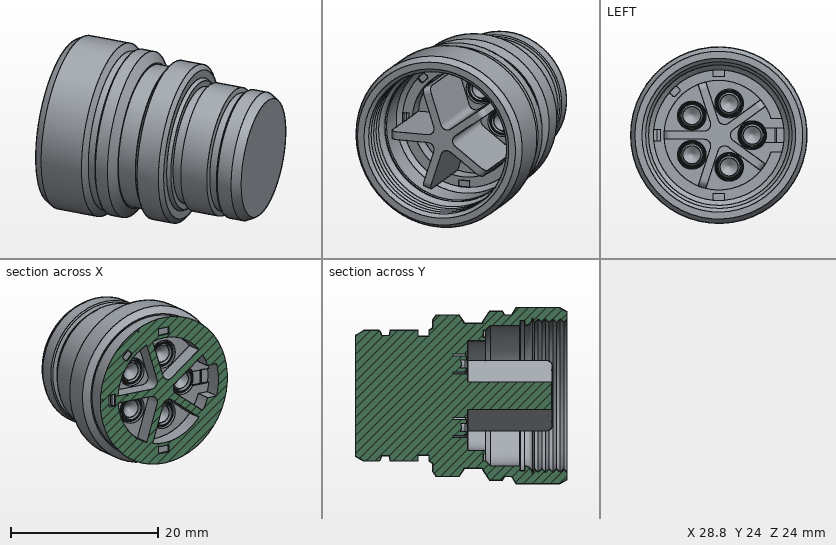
import cadquery as cq
import math

total_length = 28.8

nut_radius = 12.0
nut_nose_radius = 11.4
nut_nose_length = 1.05
nut_end = 6.95
collar_radius = 11.0
nut_cone_end = 7.55
ring_start = 8.5
ring_radius = 11.5
ring_flat_start = 8.8
ring_flat_end = 10.55
waist_start = 11.5
waist_end = 14.05
waist_radius = 9.87
waist_cone_radius = 10.05
collar_flat_start = 14.7
collar_flat_end = 17.8
collar_end = 18.3
collar_end_radius = 10.3

sleeve_radius = 8.9
lip_radius = 9.2
lip_end = 18.8
neck_radius = 8.1
sleeve_start = 20.25
groove_radius = 8.2
groove_start = 24.05
groove_floor_start = 24.2
groove_floor_end = 25.2
groove_step_x = 25.38
groove_step_radius = 8.73
groove_end = 25.6
dome_start = 27.6
dome_end_radius = 8.2
dome_bulge = 0.06

mouth_radius = 10.45
thread_crest_radius = 9.95
thread_root_radius = 10.4
thread_pitch = 1.0
thread_first_crest = 0.45
thread_count = 4
throat_radius = 9.54
throat_rounding = 1.05
seal_groove_start = 5.8
seal_groove_end = 6.35
seal_groove_radius = 10.2
seal_groove_chamfer = 0.15

bore_radius = 8.87
rim_depth = 11.1
cup_radius = 7.45
floor_depth = 13.5

arm_count = 5
star_front = 2.1
arm_width = 1.1
arm_root_radius = 0.91
arm_tip_radius = 0.95

contact_circle_radius = 4.53
contact_well_radius = 1.95
contact_well_depth = 2.0
tube_radius = 1.8
tube_tip_radius = 1.65
tube_setback = 0.15
contact_radius = 1.5
contact_tip_radius = 1.22
contact_tip_length = 0.6
contact_setback = 0.4
contact_cone_depth = 0.8

key_width = 4.54
key_channel_width = 2.0
key_channel_depth = 0.3
key_groove_inner = 7.6
key_groove_outer = 7.85
key_groove_depth = 0.6
mark_inner_radius = 7.95
mark_depth = 0.3
mark_width = 1.6
small_mark_width = 1.3
small_mark_fillet = 0.2
small_mark_angle = 45
side_mark_step_radius = 8.4
side_mark_step_depth = 0.6

arm_pitch = 360 / arm_count
half_pitch = math.radians(arm_pitch / 2)


def revolved(profile):
    """Revolve a closed XY profile about the X axis."""
    return profile.close().revolve(360, (0, 0, 0), (1, 0, 0))


def cross_section(x):
    """Sketch plane across the axis at depth x: local x is +Y, local y is +Z, normal is +X."""
    return cq.Workplane("YZ", origin=(x, 0, 0))


def outer_body():
    dome_middle = (
        (dome_start + total_length) / 2,
        (sleeve_radius + dome_end_radius) / 2 + dome_bulge,
    )
    profile = (
        cq.Workplane("XY")
        .moveTo(0, 0)
        .lineTo(0, nut_nose_radius)
        .lineTo(nut_nose_length, nut_radius)
        .lineTo(nut_end, nut_radius)
        .lineTo(nut_cone_end, collar_radius)
        .lineTo(ring_start, collar_radius)
        .lineTo(ring_flat_start, ring_radius)
        .lineTo(ring_flat_end, ring_radius)
        .lineTo(waist_start, waist_cone_radius)
        .lineTo(waist_start, waist_radius)
        .lineTo(waist_end, waist_radius)
        .lineTo(waist_end, waist_cone_radius)
        .lineTo(collar_flat_start, collar_radius)
        .lineTo(collar_flat_end, collar_radius)
        .lineTo(collar_end, collar_end_radius)
        .lineTo(collar_end, lip_radius)
        .lineTo(lip_end, sleeve_radius)
        .lineTo(lip_end, neck_radius)
        .lineTo(sleeve_start, neck_radius)
        .lineTo(sleeve_start, sleeve_radius)
        .lineTo(groove_start, sleeve_radius)
        .lineTo(groove_floor_start, groove_radius)
        .lineTo(groove_floor_end, groove_radius)
        .lineTo(groove_step_x, groove_step_radius)
        .lineTo(groove_end, sleeve_radius)
        .lineTo(dome_start, sleeve_radius)
        .threePointArc(dome_middle, (total_length, dome_end_radius))
        .lineTo(total_length, 0)
    )
    return revolved(profile)


def mouth_cavity():
    """Threaded mouth, rounded throat, seal groove and bore with a 45 degree cone to the insulator rim."""
    profile = (
        cq.Workplane("XY")
        .moveTo(0, 0)
        .lineTo(0, mouth_radius)
        .lineTo(thread_first_crest, thread_crest_radius)
    )
    for turn in range(thread_count):
        crest = thread_first_crest + turn * thread_pitch
        profile = profile.lineTo(crest + thread_pitch / 2, thread_root_radius)
        profile = profile.lineTo(crest + thread_pitch, thread_crest_radius)
    arc_offset = throat_rounding * (1 - math.sqrt(0.5))
    rounding_start = seal_groove_start - throat_rounding
    rounding_middle = (rounding_start + arc_offset, throat_radius + arc_offset)
    cone_length = throat_radius - bore_radius
    profile = (
        profile.lineTo(rounding_start, throat_radius + throat_rounding)
        .threePointArc(rounding_middle, (seal_groove_start, throat_radius))
        .lineTo(seal_groove_start, seal_groove_radius)
        .lineTo(seal_groove_end, seal_groove_radius)
        .lineTo(seal_groove_end, throat_radius + seal_groove_chamfer)
        .lineTo(seal_groove_end + seal_groove_chamfer, throat_radius)
        .lineTo(rim_depth - cone_length, throat_radius)
        .lineTo(rim_depth, bore_radius)
        .lineTo(rim_depth, 0)
    )
    return revolved(profile)


def cup_cavity():
    """Round cup inside the insulator rim, opened to the bore by the key notch on -Y."""
    depth = floor_depth - rim_depth
    cup = cross_section(rim_depth).circle(cup_radius).extrude(depth)
    notch = (
        cross_section(rim_depth)
        .center(-bore_radius / 2, 0)
        .rect(bore_radius, key_width)
        .extrude(depth)
    )
    bore = cross_section(rim_depth).circle(bore_radius).extrude(depth)
    return cup.union(notch.intersect(bore))


def star_gap():
    """Round-cornered wedge of space between two arms, centred on -Y."""
    apex = arm_width / 2 / math.sin(half_pitch)
    reach = 2 * cup_radius
    half_span = (reach - apex) * math.tan(half_pitch)
    wedge = (
        cross_section(star_front)
        .moveTo(-apex, 0)
        .lineTo(-reach, half_span)
        .lineTo(-reach, -half_span)
        .close()
        .extrude(floor_depth - star_front)
    )
    return wedge.edges("|X").edges(">Y").fillet(arm_root_radius)


def star():
    body = cross_section(star_front).circle(cup_radius).extrude(floor_depth - star_front)
    body = body.faces("<X").edges().fillet(arm_tip_radius)
    for index in range(arm_count):
        gap = star_gap().rotate((0, 0, 0), (1, 0, 0), index * arm_pitch)
        body = body.cut(gap)
    return body


def contact_cavity():
    """Space around one sleeved contact and the conical dimple in its tip, centred on the axis."""
    well_bottom = floor_depth + contact_well_depth
    tube_front = floor_depth + tube_setback
    tube_chamfer = tube_radius - tube_tip_radius
    tip = floor_depth + contact_setback
    profile = (
        cq.Workplane("XY")
        .moveTo(floor_depth, 0)
        .lineTo(floor_depth, contact_well_radius)
        .lineTo(well_bottom, contact_well_radius)
        .lineTo(well_bottom, tube_radius)
        .lineTo(tube_front + tube_chamfer, tube_radius)
        .lineTo(tube_front, tube_tip_radius)
        .lineTo(tube_front, contact_radius)
        .lineTo(tip + contact_tip_length, contact_radius)
        .lineTo(tip, contact_tip_radius)
        .lineTo(tip + contact_cone_depth, 0)
    )
    return revolved(profile)


def key_channel():
    """Shallow channel in the cup floor from the -Y contact to the bore, crossed by a deeper groove."""
    channel_length = bore_radius - contact_circle_radius
    channel = (
        cross_section(floor_depth)
        .center(-contact_circle_radius - channel_length / 2, 0)
        .rect(channel_length, key_channel_width)
        .extrude(key_channel_depth)
    )
    contact_clearance = (
        cross_section(floor_depth)
        .center(-contact_circle_radius, 0)
        .circle(contact_well_radius)
        .extrude(key_channel_depth)
    )
    groove = (
        cross_section(floor_depth)
        .center(-(key_groove_inner + key_groove_outer) / 2, 0)
        .rect(key_groove_outer - key_groove_inner, key_channel_width)
        .extrude(key_groove_depth)
    )
    bore = cross_section(floor_depth).circle(bore_radius).extrude(key_groove_depth)
    return channel.cut(contact_clearance).union(groove).intersect(bore)


def rim_mark(angle, width, inner_radius, depth):
    """Shallow recess in the insulator rim at an angle from +Y towards +Z, open to the bore."""
    length = bore_radius - inner_radius
    mark = (
        cross_section(rim_depth)
        .center(inner_radius + length / 2, 0)
        .rect(length, width)
        .extrude(depth)
    )
    return mark.rotate((0, 0, 0), (1, 0, 0), angle)


result = outer_body().cut(mouth_cavity()).cut(cup_cavity()).union(star())

for index in range(arm_count):
    cavity = contact_cavity().translate((0, -contact_circle_radius, 0))
    result = result.cut(cavity.rotate((0, 0, 0), (1, 0, 0), index * arm_pitch))

result = result.cut(key_channel())

for mark_angle in (-90, 0, 90):
    result = result.cut(rim_mark(mark_angle, mark_width, mark_inner_radius, mark_depth))
result = result.cut(rim_mark(0, mark_width, side_mark_step_radius, side_mark_step_depth))

small_mark = rim_mark(0, small_mark_width, mark_inner_radius, mark_depth)
small_mark = small_mark.edges("|X").fillet(small_mark_fillet)
result = result.cut(small_mark.rotate((0, 0, 0), (1, 0, 0), small_mark_angle))